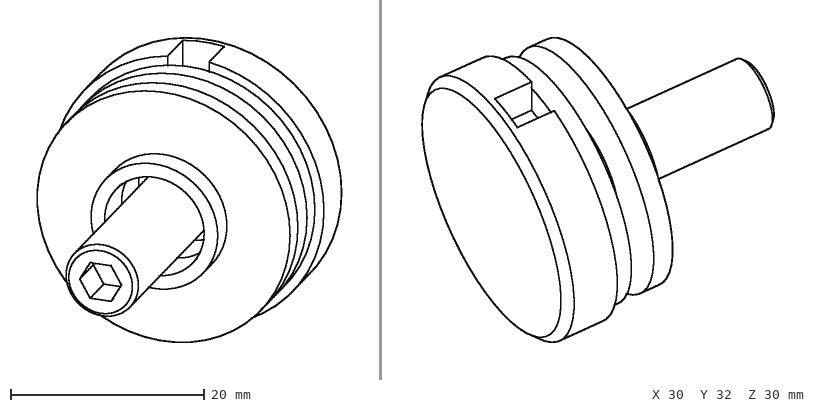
import cadquery as cq
import math

CAP_DIAMETER = 30.0
CAP_THICKNESS = 6.2
CAP_CHAMFER = 1.0
SLOT_WIDTH = 4.58
SLOT_BACK_WALL = 1.75
SLOT_FLOOR_HEIGHT = 10.3

BUSH_COUNT = 2
FLANGE_DIAMETER = 28.0
FLANGE_THICKNESS = 2.3
HUB_DIAMETER = 14.0
BUSH_LENGTH = 5.0
BUSH_BORE = 11.0

OVERALL_LENGTH = 32.0
STUD_DIAMETER = 8.0
STUD_CHAMFER = 0.48
SOCKET_ACROSS_FLATS = 4.0
SOCKET_DEPTH = 4.0

STUD_LENGTH = OVERALL_LENGTH - CAP_THICKNESS


def disc(diameter, start, length):
    """Round bar on the Y axis, from start along -Y."""
    plane = cq.Workplane("XZ", origin=(0, -start, 0))
    return plane.circle(diameter / 2).extrude(length)


def make_cap():
    """Knob cap with a chamfered back rim and a slot in its top, open to the front."""
    cap = disc(CAP_DIAMETER, 0, CAP_THICKNESS).faces(">Y").edges().chamfer(CAP_CHAMFER)
    slot_length = CAP_THICKNESS - SLOT_BACK_WALL
    slot_height = CAP_DIAMETER / 2 - SLOT_FLOOR_HEIGHT
    slot = (
        cq.Workplane("XY", origin=(0, -SLOT_BACK_WALL, SLOT_FLOOR_HEIGHT))
        .box(SLOT_WIDTH, slot_length, slot_height, centered=(True, False, False))
        .translate((0, -slot_length, 0))
    )
    return cap.cut(slot)


def make_bush(start):
    """Flange at the back, hub in front of it, and a clearance bore through both."""
    flange = disc(FLANGE_DIAMETER, start, FLANGE_THICKNESS)
    hub = disc(HUB_DIAMETER, start, BUSH_LENGTH)
    bore = disc(BUSH_BORE, start, BUSH_LENGTH)
    return flange.union(hub).cut(bore)


def make_stud():
    """Stud standing on the front of the cap, chamfered and socketed at its free end."""
    stud = disc(STUD_DIAMETER, CAP_THICKNESS, STUD_LENGTH).faces("<Y").edges().chamfer(STUD_CHAMFER)
    across_corners = SOCKET_ACROSS_FLATS / math.cos(math.pi / 6)
    socket = (
        cq.Workplane("XZ", origin=(0, SOCKET_DEPTH - OVERALL_LENGTH, 0))
        .polygon(6, across_corners)
        .extrude(SOCKET_DEPTH)
    )
    return stud.cut(socket)


cap = make_cap()
bushes = [make_bush(CAP_THICKNESS + i * BUSH_LENGTH) for i in range(BUSH_COUNT)]
stud = make_stud()

result = cq.Compound.makeCompound([cap.val(), *[bush.val() for bush in bushes], stud.val()])